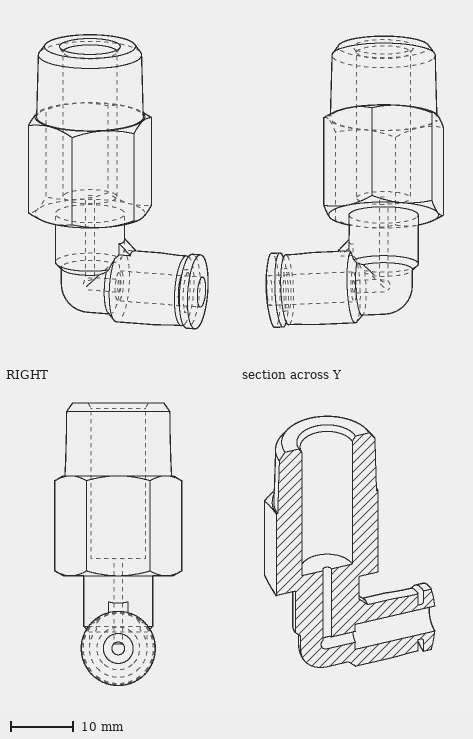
import cadquery as cq
import math

total_height = 44.9
hex_top = 33.3
hex_bottom = 17.4
shank_bottom = 9.45

thread_base_radius = 8.5
thread_top_radius = 8.2
thread_chamfer_height = 1.4
thread_face_radius = 7.25
bore_radius = 8.58 / 2
bore_chamfer_width = 0.55
bore_chamfer_height = 0.9
bore_depth = 24.7
orifice_radius = 1.4 / 2

hex_corners = 20.15
hex_flats = hex_corners * math.cos(math.radians(30))
hex_chamfer_angle = 30.0

shank_radius = 11.0 / 2
elbow_radius = 4.6
shank_chamfer = shank_radius - elbow_radius

collar_radius = 11.8 / 2
arm_z = collar_radius
socket_radius = 11.5 / 2
socket_end_radius = 5.55
neck_radius = 6.8 / 2
elbow_end = 3.7
socket_start = elbow_end + socket_radius - elbow_radius
taper_start = 11.22
taper_end = 14.25
socket_end = 15.6
collar_start = 16.5
collar_rim_end = 17.83
arm_end = 27.15 - hex_flats / 2
tube_radius = 4.75 / 2
tube_stop = socket_start
passage_radius = 2.0 / 2
neck_fillet = 0.4

gusset_width = 3.15
gusset_top = 13.3
gusset_start = 5.3


def threaded_end():
    """Tapered threaded stub standing on the hexagon."""
    profile = (
        cq.Workplane("XZ")
        .moveTo(0, hex_top)
        .lineTo(thread_base_radius, hex_top)
        .lineTo(thread_top_radius, total_height - thread_chamfer_height)
        .lineTo(thread_face_radius, total_height)
        .lineTo(0, total_height)
        .close()
    )
    return profile.revolve(360, (0, 0), (0, 1))


def hexagon():
    """Hexagonal body whose corners are turned off at both ends."""
    prism = (
        cq.Workplane("XY", origin=(0, 0, hex_bottom))
        .polygon(6, hex_corners)
        .extrude(hex_top - hex_bottom)
        .rotate((0, 0, 0), (0, 0, 1), 30)
    )
    face_radius = hex_flats / 2
    corner_radius = hex_corners / 2
    drop = (corner_radius - face_radius) * math.tan(math.radians(hex_chamfer_angle))
    turned = (
        cq.Workplane("XZ")
        .moveTo(0, hex_bottom)
        .lineTo(face_radius, hex_bottom)
        .lineTo(corner_radius, hex_bottom + drop)
        .lineTo(corner_radius, hex_top - drop)
        .lineTo(face_radius, hex_top)
        .lineTo(0, hex_top)
        .close()
        .revolve(360, (0, 0), (0, 1))
    )
    return prism.intersect(turned)


def shank_and_elbow():
    """Round shank that necks down into a ball-ended elbow."""
    profile = (
        cq.Workplane("XZ")
        .moveTo(0, hex_bottom)
        .lineTo(shank_radius, hex_bottom)
        .lineTo(shank_radius, shank_bottom)
        .lineTo(elbow_radius, shank_bottom - shank_chamfer)
        .lineTo(elbow_radius, arm_z)
        .radiusArc((0, arm_z - elbow_radius), elbow_radius)
        .close()
    )
    return profile.revolve(360, (0, 0), (0, 1))


def side_arm():
    """Horizontal elbow leg, tube socket and domed release collar."""
    dome_middle = (
        (2 * arm_end + collar_rim_end) / 3,
        (collar_radius + tube_radius) / 2,
    )
    profile = (
        cq.Workplane("XZ", origin=(0, 0, arm_z))
        .lineTo(0, elbow_radius)
        .lineTo(elbow_end, elbow_radius)
        .lineTo(socket_start, socket_radius)
        .lineTo(taper_start, socket_radius)
        .lineTo(taper_end, socket_end_radius)
        .lineTo(socket_end, socket_end_radius)
        .lineTo(socket_end, neck_radius)
        .lineTo(collar_start - neck_fillet, neck_radius)
        .radiusArc((collar_start, neck_radius + neck_fillet), -neck_fillet)
        .lineTo(collar_start, collar_radius)
        .lineTo(collar_rim_end, collar_radius)
        .threePointArc(dome_middle, (arm_end, tube_radius))
        .lineTo(arm_end, 0)
        .close()
    )
    return profile.revolve(360, (0, 0), (1, 0))


def gusset():
    """Flat 45 degree web in the corner between shank and socket."""
    run = gusset_top - arm_z - elbow_radius
    return (
        cq.Workplane("XZ")
        .moveTo(elbow_end, arm_z + elbow_radius)
        .lineTo(gusset_start + run, arm_z + elbow_radius)
        .lineTo(gusset_start, gusset_top)
        .lineTo(elbow_end, gusset_top)
        .close()
        .extrude(gusset_width / 2, both=True)
    )


def bore():
    """Chamfered bore with a small orifice leading down to the elbow centre."""
    floor = total_height - bore_depth
    profile = (
        cq.Workplane("XZ")
        .moveTo(0, arm_z)
        .lineTo(orifice_radius, arm_z)
        .lineTo(orifice_radius, floor)
        .lineTo(bore_radius, floor)
        .lineTo(bore_radius, total_height - bore_chamfer_height)
        .lineTo(bore_radius + bore_chamfer_width, total_height)
        .lineTo(0, total_height)
        .close()
    )
    return profile.revolve(360, (0, 0), (0, 1))


def tube_passage():
    """Tube bore from the collar face, then a ball-ended passage to the elbow centre."""
    profile = (
        cq.Workplane("XZ", origin=(0, 0, arm_z))
        .moveTo(-passage_radius, 0)
        .radiusArc((0, passage_radius), passage_radius)
        .lineTo(tube_stop, passage_radius)
        .lineTo(tube_stop, tube_radius)
        .lineTo(arm_end, tube_radius)
        .lineTo(arm_end, 0)
        .close()
    )
    return profile.revolve(360, (0, 0), (1, 0))


body = threaded_end().union(hexagon()).union(shank_and_elbow())
body = body.union(side_arm()).union(gusset())
result = body.cut(bore()).cut(tube_passage())